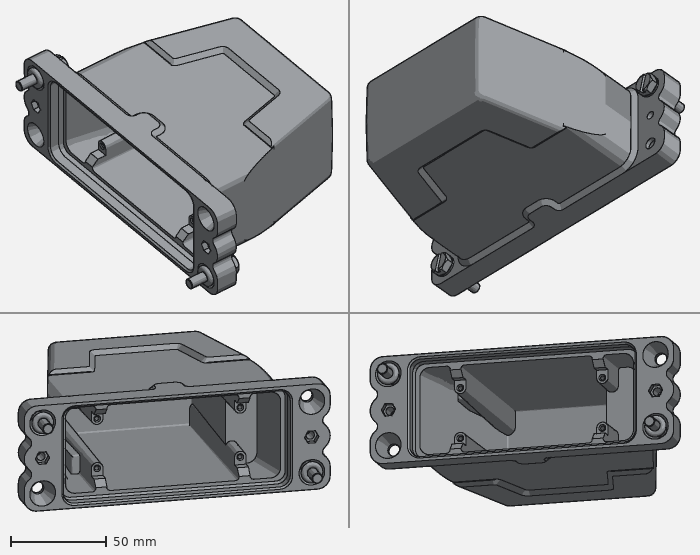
import cadquery as cq
import math

FLANGE_LENGTH = 166.0
FLANGE_WIDTH = 58.0
FLANGE_THICKNESS = 12.5
FLANGE_CORNER_RADIUS = 7.0

LOBE_RADIUS = 8.0
NOTCH_RADIUS = 3.3
NOTCH_Z = 8.6

SCREW_X = 73.0
SCREW_Z = 19.5
COUNTERSINK_DIAMETER = 14.0
COUNTERSINK_DEPTH = 10.0
SCREW_HOLE_DIAMETER = 6.5
HEX_POCKET_ACROSS_FLATS = 6.6
HEX_POCKET_DEPTH = 3.3
HEX_HOLE_DIAMETER = 4.5

HOOD_HALF_LENGTH = 61.8
HOOD_HALF_WIDTH = 26.5
HOOD_BACK_Y = 110.0
HOOD_CORNER_RADIUS = 8.8
SHOULDER_Y = 34.5
LEAN = math.tan(math.radians(15))
DRAFT_ANGLE = 1.0
BACK_CORNER_RADIUS = 5.0
RIM_RADIUS = 4.3

STEP_HEIGHT = FLANGE_WIDTH / 2 - HOOD_HALF_WIDTH
STEP_RUN = 2.8
STEP_TAPER = math.degrees(math.atan(STEP_RUN / STEP_HEIGHT))

PANEL_LOW_Y = 57.1
PANEL_TOP_Y = 85.2
PANEL_TOP_HALF_LENGTH = 22.2
PANEL_TOP_CORNER_RADIUS = 1.3
PANEL_LOW_CORNER_RADIUS = 4.0

ARCH_HALF_LENGTH = 10.5
ARCH_TOP_Y = 24.7
ARCH_CORNER_RADIUS = 6.6
ARCH_FOOT_RADIUS = 0.8
ARCH_STRIP_HALF_LENGTH = 20.0
ARCH_STRIP_DEPTH = 8.3

LEDGE_Y = 8.8
MOUTH_HALF_LENGTH = 61.6
MOUTH_HALF_WIDTH = 26.4
MOUTH_CORNER_RADIUS = 6.0
MOUTH_CHAMFER = 1.0
SEAT_INSET = 0.8
SEAT_SLOPE_LENGTH = 2.5

CAVITY_HALF_LENGTH = 58.5
CAVITY_HALF_WIDTH = 23.5
CAVITY_CORNER_RADIUS = 5.5
SHELF_Y = 35.7
RAMP_HALF_LENGTH = 49.1
RAMP_Y = 51.5
FLOOR_LEFT_X = -38.5
FLOOR_RIGHT_X = 35.7
FLOOR_Y = 104.5
FLOOR_FILLET = 1.0

POST_X = 38.8
POST_Z = 13.6
POST_WIDTH = 6.0
POST_FACE_Y = 17.6
POST_RAMP_TOP_Z = 21.4
POST_RAMP_FOOT_Z = 17.8
POST_HOLE_DIAMETER = 2.3
POST_HOLE_MOUTH_DIAMETER = 3.7
POST_HOLE_DEPTH = 10.0
POST_ROOT_LENGTH = 13.3
POST_ROOT_DEPTH = 3.3
POST_ROOT_FILLET = 2.0

PAD_OUTER_X = 47.0
PAD_END_Z = 12.8
PAD_FACE_Y = 39.8
PAD_EDGE_RADIUS = 1.0

SHAFT_DIAMETER = 5.6
SHAFT_LENGTH_OUT = 11.3
SHAFT_CHAMFER = 0.3
RING_DIAMETER = 11.6
RING_TUBE_RADIUS = 1.7
RING_PROUD = 1.8
HEAD_HEIGHT = 5.6
HEAD_FLANGE_HEIGHT = 1.0
HEAD_FLANGE_DIAMETER = 11.8
HEX_ACROSS_CORNERS = 12.3
HEX_CHAMFER = 1.0
HEAD_TURN = 14.0
SLOT_WIDTH = 1.8
SLOT_DEPTH = 2.2

SIDES = (-1, 1)


def facing_y(y):
    """Workplane at height y with normal +Y; its local axes are -X and +Z."""
    return cq.Workplane(cq.Plane(origin=(0, y, 0), xDir=(-1, 0, 0), normal=(0, 1, 0)))


def rounded_rectangle(half_length, half_width, radius):
    return cq.Sketch().rect(2 * half_length, 2 * half_width).vertices().fillet(radius).reset()


def rounded_prism(half_length, half_width, radius, y, length, taper=0):
    """Rounded rectangle in X and Z, grown along +Y from y."""
    outline = rounded_rectangle(half_length, half_width, radius)
    return facing_y(y).placeSketch(outline).extrude(length, taper=taper)


def both_broad_sides(solid):
    return solid.union(solid.mirror("XY"))


def flange_plate():
    end = FLANGE_LENGTH / 2
    edge = FLANGE_WIDTH / 2
    reach = LOBE_RADIUS + NOTCH_RADIUS
    lobe_x = end - LOBE_RADIUS
    notch_x = lobe_x + math.sqrt(reach**2 - NOTCH_Z**2)
    corner_x = end - FLANGE_CORNER_RADIUS
    corner_reach = FLANGE_CORNER_RADIUS + NOTCH_RADIUS
    corner_z = NOTCH_Z + math.sqrt(corner_reach**2 - (notch_x - corner_x) ** 2)

    lobe_share = LOBE_RADIUS / reach
    lobe_end = (lobe_x + (notch_x - lobe_x) * lobe_share, NOTCH_Z * lobe_share)
    corner_share = FLANGE_CORNER_RADIUS / corner_reach
    corner_end = (
        corner_x + (notch_x - corner_x) * corner_share,
        corner_z + (NOTCH_Z - corner_z) * corner_share,
    )
    corner_turn = math.atan2(corner_end[1] - corner_z, corner_end[0] - corner_x) / 2
    corner_mid = (
        corner_x + FLANGE_CORNER_RADIUS * math.cos(corner_turn),
        corner_z + FLANGE_CORNER_RADIUS * math.sin(corner_turn),
    )
    bend = FLANGE_CORNER_RADIUS * math.sqrt(0.5)
    quarter = (
        facing_y(0)
        .moveTo(0, 0)
        .lineTo(end, 0)
        .radiusArc(lobe_end, -LOBE_RADIUS)
        .threePointArc((notch_x - NOTCH_RADIUS, NOTCH_Z), corner_end)
        .threePointArc(corner_mid, (end, corner_z))
        .lineTo(end, edge - FLANGE_CORNER_RADIUS)
        .threePointArc(
            (corner_x + bend, edge - FLANGE_CORNER_RADIUS + bend), (corner_x, edge)
        )
        .lineTo(0, edge)
        .close()
        .extrude(FLANGE_THICKNESS)
    )
    half = quarter.union(quarter.mirror("YZ"))
    return half.union(half.mirror("XY"))


def lean_block(y_start, y_end, corner_radius=0, rim_radius=0):
    """Drafted block between two Y levels whose ends follow the leaning walls."""

    def half_length(y):
        return HOOD_HALF_LENGTH - max(y - SHOULDER_Y, 0) * LEAN

    right = [(half_length(y), y) for y in (y_start, SHOULDER_Y, y_end) if y_start <= y <= y_end]
    left = [(-x, y) for x, y in reversed(right)]
    half = cq.Workplane("XY").polyline(right + left).close()
    half = half.extrude(FLANGE_WIDTH / 2, taper=DRAFT_ANGLE)
    if corner_radius:
        half = half.faces(">Y").edges("not #Z").fillet(corner_radius)
    if rim_radius:
        half = half.faces(">Z").edges("not <Y").fillet(rim_radius)
    return half.union(half.mirror("XY"))


def lower_hood():
    block = lean_block(FLANGE_THICKNESS / 2, PANEL_LOW_Y + STEP_RUN)
    profile = rounded_prism(
        HOOD_HALF_LENGTH, HOOD_HALF_WIDTH, HOOD_CORNER_RADIUS, 0, HOOD_BACK_Y
    )
    return block.intersect(profile)


def sunken_panel():
    """Void above the panel floor on the +Z side, with sloped walls."""
    low_half_length = PANEL_TOP_HALF_LENGTH + (PANEL_TOP_Y - PANEL_LOW_Y) * LEAN
    far = FLANGE_LENGTH
    outline = cq.Sketch().polygon(
        [
            (-far, 0),
            (far, 0),
            (far, PANEL_LOW_Y),
            (low_half_length, PANEL_LOW_Y),
            (PANEL_TOP_HALF_LENGTH, PANEL_TOP_Y),
            (-PANEL_TOP_HALF_LENGTH, PANEL_TOP_Y),
            (-low_half_length, PANEL_LOW_Y),
            (-far, PANEL_LOW_Y),
            (-far, 0),
        ]
    )
    outline = outline.vertices(">Y").fillet(PANEL_TOP_CORNER_RADIUS).reset()
    low_corners = cq.selectors.BoxSelector(
        (-low_half_length - 1.7, PANEL_LOW_Y - 1.7, -1.7), (low_half_length + 1.7, PANEL_LOW_Y + 1.7, 1.7)
    )
    outline = outline.vertices(low_corners).fillet(PANEL_LOW_CORNER_RADIUS).reset()
    floor = cq.Workplane("XY", origin=(0, 0, HOOD_HALF_WIDTH))
    return floor.placeSketch(outline).extrude(2 * STEP_HEIGHT, taper=-STEP_TAPER)


def upper_hood():
    block = lean_block(PANEL_LOW_Y, HOOD_BACK_Y, BACK_CORNER_RADIUS, RIM_RADIUS)
    return block.cut(both_broad_sides(sunken_panel()))


def flared_base():
    return rounded_prism(
        HOOD_HALF_LENGTH + STEP_HEIGHT,
        HOOD_HALF_WIDTH + STEP_HEIGHT,
        HOOD_CORNER_RADIUS + STEP_HEIGHT,
        FLANGE_THICKNESS,
        STEP_RUN,
        taper=math.degrees(math.atan(STEP_HEIGHT / STEP_RUN)),
    )


def arch():
    """Flat-topped arch rising from the flange onto the +Z side, level with the flange edge."""
    strip_top = FLANGE_THICKNESS + STEP_RUN
    arch_height = ARCH_TOP_Y - strip_top
    outline = (
        cq.Sketch()
        .push([(0, strip_top - ARCH_STRIP_DEPTH / 2)])
        .rect(2 * ARCH_STRIP_HALF_LENGTH, ARCH_STRIP_DEPTH)
        .reset()
        .push([(0, strip_top + arch_height / 2 - ARCH_STRIP_DEPTH / 2)])
        .rect(2 * ARCH_HALF_LENGTH, arch_height + ARCH_STRIP_DEPTH)
        .reset()
        .clean()
    )
    outline = outline.vertices(">Y").fillet(ARCH_CORNER_RADIUS).reset()
    feet = cq.selectors.BoxSelector(
        (-ARCH_HALF_LENGTH - 0.2, strip_top - 0.2, -1.7), (ARCH_HALF_LENGTH + 0.2, strip_top + 0.2, 1.7)
    )
    outline = outline.vertices(feet).fillet(ARCH_FOOT_RADIUS).reset()
    base = cq.Workplane("XY", origin=(0, 0, HOOD_HALF_WIDTH))
    return base.placeSketch(outline).extrude(STEP_HEIGHT, taper=STEP_TAPER)


def mouth():
    """Chamfered opening, straight wall and slope down to the seal ledge."""
    chamfer = rounded_prism(
        MOUTH_HALF_LENGTH + MOUTH_CHAMFER,
        MOUTH_HALF_WIDTH + MOUTH_CHAMFER,
        MOUTH_CORNER_RADIUS + MOUTH_CHAMFER,
        0,
        MOUTH_CHAMFER,
        taper=45,
    )
    straight_depth = LEDGE_Y - SEAT_SLOPE_LENGTH
    wall = rounded_prism(
        MOUTH_HALF_LENGTH, MOUTH_HALF_WIDTH, MOUTH_CORNER_RADIUS, 0, straight_depth
    )
    slope = rounded_prism(
        MOUTH_HALF_LENGTH,
        MOUTH_HALF_WIDTH,
        MOUTH_CORNER_RADIUS,
        straight_depth,
        SEAT_SLOPE_LENGTH,
        taper=math.degrees(math.atan(SEAT_INSET / SEAT_SLOPE_LENGTH)),
    )
    return chamfer.union(wall).union(slope)


def cavity_half_width(y):
    return CAVITY_HALF_WIDTH - (y - LEDGE_Y) * math.tan(math.radians(DRAFT_ANGLE))


def cavity_entrance():
    """Round-cornered funnel below the ledge, stopped by the shelf at its +X end."""
    funnel = (
        facing_y(LEDGE_Y)
        .placeSketch(
            rounded_rectangle(CAVITY_HALF_LENGTH, CAVITY_HALF_WIDTH, CAVITY_CORNER_RADIUS),
            rounded_rectangle(
                RAMP_HALF_LENGTH, cavity_half_width(RAMP_Y), CAVITY_CORNER_RADIUS
            ).moved(cq.Location(cq.Vector(0, 0, RAMP_Y - LEDGE_Y))),
        )
        .loft()
    )
    above_shelf = cq.Workplane("XY").box(
        CAVITY_HALF_LENGTH, RAMP_Y, FLANGE_WIDTH, centered=(False, False, True)
    )
    return funnel.cut(above_shelf.translate((FLOOR_RIGHT_X, SHELF_Y, 0)))


def cavity_depths():
    """Middle pocket with the ramp at its -X end."""
    plan = (
        cq.Workplane("XY")
        .polyline(
            [
                (-RAMP_HALF_LENGTH, RAMP_Y),
                (FLOOR_RIGHT_X, SHELF_Y),
                (FLOOR_RIGHT_X, FLOOR_Y),
                (FLOOR_LEFT_X, FLOOR_Y),
            ]
        )
        .close()
        .extrude(FLANGE_WIDTH, both=True)
    )
    wedge = (
        cq.Workplane("YZ")
        .polyline(
            [
                (LEDGE_Y, cavity_half_width(LEDGE_Y)),
                (FLOOR_Y, cavity_half_width(FLOOR_Y)),
                (FLOOR_Y, -cavity_half_width(FLOOR_Y)),
                (LEDGE_Y, -cavity_half_width(LEDGE_Y)),
            ]
        )
        .close()
        .extrude(CAVITY_HALF_LENGTH, both=True)
    )
    block = plan.intersect(wedge)
    below_ramp = cq.selectors.BoxSelector(
        (-CAVITY_HALF_LENGTH, LEDGE_Y, -FLANGE_WIDTH), (FLOOR_LEFT_X - 1.7, FLOOR_Y - 1.7, FLANGE_WIDTH)
    )
    block = block.edges(below_ramp).edges("not |Z").fillet(CAVITY_CORNER_RADIUS)
    return block.faces(">Y").edges().fillet(FLOOR_FILLET)


def post(x):
    """Rib with a rounded end on the +Z wall, stepped back to a drilled face."""
    wall_z = CAVITY_HALF_WIDTH
    outline = (
        cq.Sketch()
        .push([(-x, POST_Z)])
        .circle(POST_WIDTH / 2)
        .reset()
        .push([(-x, (POST_Z + wall_z) / 2)])
        .rect(POST_WIDTH, wall_z - POST_Z)
        .reset()
        .push([(-x, wall_z + POST_ROOT_DEPTH / 2)])
        .rect(POST_ROOT_LENGTH, POST_ROOT_DEPTH)
        .reset()
        .clean()
    )
    root_corners = cq.selectors.BoxSelector(
        (-x - POST_WIDTH, wall_z - 0.2, -1.7), (-x + POST_WIDTH, wall_z + 0.2, 1.7)
    )
    outline = outline.vertices(root_corners).fillet(POST_ROOT_FILLET).reset()
    rib = facing_y(LEDGE_Y).placeSketch(outline).extrude(FLOOR_Y - LEDGE_Y, taper=-DRAFT_ANGLE)
    ramp_length = POST_RAMP_TOP_Z - POST_RAMP_FOOT_Z
    step_back = (
        cq.Workplane("YZ", origin=(x, 0, 0))
        .polyline(
            [
                (LEDGE_Y, 0),
                (LEDGE_Y, POST_RAMP_TOP_Z),
                (LEDGE_Y + ramp_length, POST_RAMP_FOOT_Z),
                (POST_FACE_Y, POST_RAMP_FOOT_Z),
                (POST_FACE_Y, 0),
            ]
        )
        .close()
        .extrude(POST_WIDTH, both=True)
    )
    rib = rib.cut(step_back)
    return rib.cut(
        facing_y(POST_FACE_Y).center(-x, POST_Z).circle(POST_HOLE_DIAMETER / 2).extrude(POST_HOLE_DEPTH)
    ).cut(
        cq.Workplane(
            cq.Solid.makeCone(
                POST_HOLE_MOUTH_DIAMETER / 2,
                POST_HOLE_DIAMETER / 2,
                (POST_HOLE_MOUTH_DIAMETER - POST_HOLE_DIAMETER) / 2,
                cq.Vector(x, POST_FACE_Y, POST_Z),
                cq.Vector(0, 1, 0),
            )
        )
    )


def pad():
    """Low block with rounded face edges beside the -X post on the +Z wall."""
    block = cq.Workplane("XY").box(
        PAD_OUTER_X - POST_X,
        FLOOR_Y - PAD_FACE_Y,
        FLANGE_WIDTH / 2 - PAD_END_Z,
        centered=False,
    )
    block = block.faces("<Y").edges("<X or <Z").fillet(PAD_EDGE_RADIUS)
    return block.translate((-PAD_OUTER_X, PAD_FACE_Y, PAD_END_Z))


def cavity():
    """Whole void below the ledge, with the posts and pads left standing in it."""
    void = cavity_entrance().union(cavity_depths())
    for x in (-POST_X, POST_X):
        void = void.cut(both_broad_sides(post(x)))
    return void.cut(both_broad_sides(pad()))


def countersunk_hole(x, z):
    cone = cq.Solid.makeCone(
        COUNTERSINK_DIAMETER / 2,
        SCREW_HOLE_DIAMETER / 2,
        COUNTERSINK_DEPTH,
        cq.Vector(x, 0, z),
        cq.Vector(0, 1, 0),
    )
    drill = facing_y(0).center(-x, z).circle(SCREW_HOLE_DIAMETER / 2).extrude(FLANGE_THICKNESS)
    return drill.union(cq.Workplane(cone))


def nut_hole(x):
    across_corners = HEX_POCKET_ACROSS_FLATS / math.cos(math.radians(30))
    pocket = facing_y(0).center(-x, 0).polygon(6, across_corners).extrude(HEX_POCKET_DEPTH)
    drill = facing_y(0).center(-x, 0).circle(HEX_HOLE_DIAMETER / 2).extrude(FLANGE_THICKNESS)
    return pocket.union(drill)


def make_housing():
    body = flange_plate().union(flared_base()).union(lower_hood()).union(upper_hood())
    body = body.union(both_broad_sides(arch()))
    body = body.cut(mouth()).cut(cavity())
    for x in (-SCREW_X, SCREW_X):
        body = body.cut(nut_hole(x))
        for z in (-SCREW_Z, SCREW_Z):
            body = body.cut(countersunk_hole(x, z))
    return body


def make_screw(x, z):
    """Slotted hexagon screw whose tip points along -Y, with a round ring near the mating face."""
    axis = facing_y(-SHAFT_LENGTH_OUT)
    shaft = axis.circle(SHAFT_DIAMETER / 2).extrude(SHAFT_LENGTH_OUT + FLANGE_THICKNESS)
    shaft = shaft.faces("<Y").chamfer(SHAFT_CHAMFER)
    ring = cq.Solid.makeTorus(
        RING_DIAMETER / 2 - RING_TUBE_RADIUS,
        RING_TUBE_RADIUS,
        cq.Vector(0, RING_TUBE_RADIUS - RING_PROUD, 0),
        cq.Vector(0, 1, 0),
    )
    disc = facing_y(FLANGE_THICKNESS).circle(HEAD_FLANGE_DIAMETER / 2).extrude(HEAD_FLANGE_HEIGHT)
    head = facing_y(FLANGE_THICKNESS).polygon(6, HEX_ACROSS_CORNERS).extrude(HEAD_HEIGHT)
    bevel = facing_y(FLANGE_THICKNESS).circle(HEX_ACROSS_CORNERS / 2).extrude(HEAD_HEIGHT)
    head = head.intersect(bevel.faces(">Y").chamfer(HEX_CHAMFER))
    head = head.cut(facing_y(FLANGE_THICKNESS).circle(HEX_ACROSS_CORNERS).extrude(HEAD_FLANGE_HEIGHT))
    slot = facing_y(FLANGE_THICKNESS + HEAD_HEIGHT).rect(SLOT_WIDTH, 2 * HEX_ACROSS_CORNERS)
    head = head.cut(slot.extrude(-SLOT_DEPTH))
    screw = shaft.union(cq.Workplane(ring)).union(disc).union(head)
    return screw.rotate((0, 0, 0), (0, 1, 0), -HEAD_TURN).translate((x, 0, z))


housing = make_housing()
screws = [make_screw(side * SCREW_X, -side * SCREW_Z) for side in SIDES]

result = cq.Compound.makeCompound([housing.val(), *[screw.val() for screw in screws]])